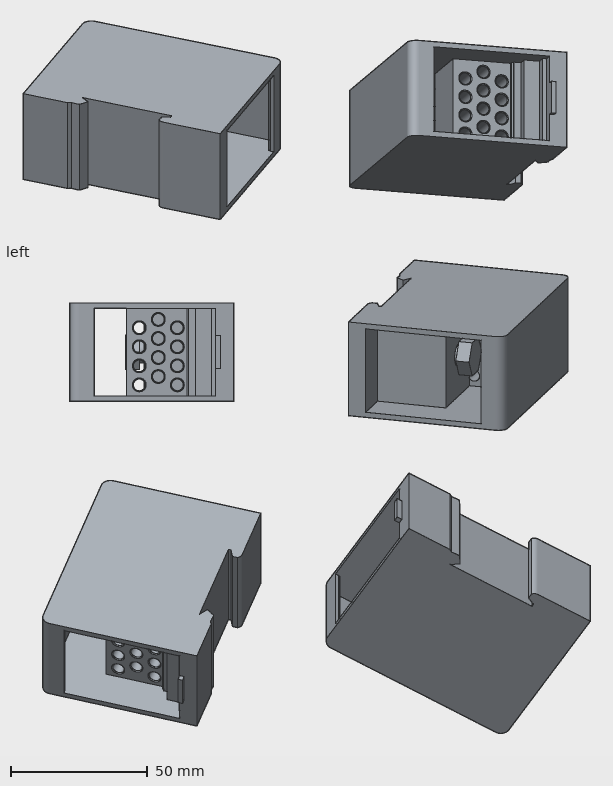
import cadquery as cq
import math

body_length = 78.0
body_depth = 60.0
body_height = 36.0
wall = 2.0
back_wall = 1.5
corner_radius = 3.5
mid_height = body_height / 2

opening_low = 6.6
opening_high = 51.0
end_wall = 2.1
lip_thickness = 1.4
lip_step = 0.2

slot_depth = 5.6
slot_left = 21.1
slot_right = 56.4
hook_underside = [(17.6, 0), (18.8, 0.6), (21.4, 0.5), (22.0, 0.5), (24.2, 3.5)]
right_lip = 53.4
right_lip_high = 3.1
right_shoulder = 4.6
right_lip_low = 1.1
right_lip_end = 55.4

tab_reach = 2.0
tab_width = 1.8
tab_height = 12.0

block_front = 14.0
block_back = 64.0
block_low = 17.2
block_top = 39.3
pad_front = 36.0
pad_top = 32.9
step_tops = [(4.0, 8.1), (8.0, 13.9), (12.0, 16.5), (12.8, block_low)]

hole_diameter = 4.3
rim_width = 0.36
rim_depth = rim_width
hole_pitch = 7.0
holes_per_column = 4
first_column = 34.6
column_count = 3
column_stagger = 1.5
blind_depth = 16.0

bolt_x = 49.6
shank_diameter = 8.0
head_across_flats = 12.7
head_low = 34.4
head_top = 39.5


def box(x0, x1, y0, y1, z0, z1):
    """Box between two opposite corners."""
    return cq.Workplane("XY").box(x1 - x0, y1 - y0, z1 - z0, centered=False).translate((x0, y0, z0))


def make_housing():
    """Outer body with two rounded corners, hollowed and open at both ends."""
    outer = box(0, body_length, 0, body_depth, 0, body_height)
    outer = outer.edges("|Z and >Y").fillet(corner_radius)
    cavity = box(end_wall, body_length - end_wall, opening_low, body_depth - back_wall,
                 wall, body_height - wall)
    openings = box(0, body_length, opening_low, opening_high, wall, body_height - wall)
    rebates = box(lip_thickness, body_length - lip_thickness, opening_low, opening_high + lip_step,
                  wall, body_height - wall)
    return outer.cut(cavity).cut(openings).cut(rebates)


def make_rail_slot():
    """Slot with a pointed hook on the left and a rounded lip on the right."""
    arc_width = right_lip_end - right_lip
    radius = (arc_width**2 + right_lip_low**2) / (2 * right_lip_low)
    half_angle = math.asin(arc_width / radius) / 2
    arc_middle = (right_lip_end - radius * math.sin(half_angle), radius * (1 - math.cos(half_angle)))
    return (
        cq.Workplane("XY")
        .polyline(hook_underside)
        .lineTo(slot_left, slot_depth)
        .lineTo(slot_right, slot_depth)
        .lineTo(slot_right, right_shoulder)
        .lineTo(right_lip, right_lip_high)
        .lineTo(right_lip, right_lip_low)
        .threePointArc(arc_middle, (right_lip_end, 0))
        .close()
        .extrude(body_height)
    )


def make_tab():
    """Small latch tab beside the opening."""
    return box(-tab_reach, 0, opening_low - tab_width, opening_low,
               mid_height - tab_height / 2, mid_height + tab_height / 2)


def make_block():
    """Terminal block with a lowered bolt pad, standing on steps that rise from the cavity floor."""
    floor = wall
    ceiling = body_height - wall
    block = box(block_front, block_back, block_low, pad_top, floor, ceiling)
    block = block.union(box(block_front, pad_front, block_low, block_top, floor, ceiling))
    low = opening_low
    for front, top in step_tops:
        block = block.union(box(front, block_back, low, top, floor, ceiling))
        low = top
    return block


def make_wire_hole(y, z, depth):
    """Round hole along X with a chamfered mouth."""
    mouth = cq.Workplane("YZ", origin=(block_front, y, z))
    bore = mouth.circle(hole_diameter / 2).extrude(depth)
    rim = cq.Solid.makeCone(hole_diameter / 2 + rim_width, hole_diameter / 2, rim_depth,
                            cq.Vector(block_front, y, z), cq.Vector(1, 0, 0))
    return bore.union(cq.Workplane(obj=rim))


def make_bolt():
    """Hexagon bolt along Y with one corner of its head towards the wire holes."""
    shank = cq.Workplane("XZ", origin=(bolt_x, head_low, mid_height)).circle(shank_diameter / 2)
    head = cq.Workplane("XZ", origin=(bolt_x, head_top, mid_height))
    head = head.polygon(6, head_across_flats / math.cos(math.pi / 6))
    return shank.extrude(head_low - pad_top).union(head.extrude(head_top - head_low))


result = make_housing().cut(make_rail_slot()).union(make_tab()).union(make_block())

for column in range(column_count):
    hole_y = first_column - column * hole_pitch
    stagger = column_stagger if column % 2 else -column_stagger
    depth = pad_front - block_front if column == 0 else blind_depth
    for row in range(holes_per_column):
        hole_z = mid_height + stagger + (row - (holes_per_column - 1) / 2) * hole_pitch
        result = result.cut(make_wire_hole(hole_y, hole_z, depth))

result = result.union(make_bolt())